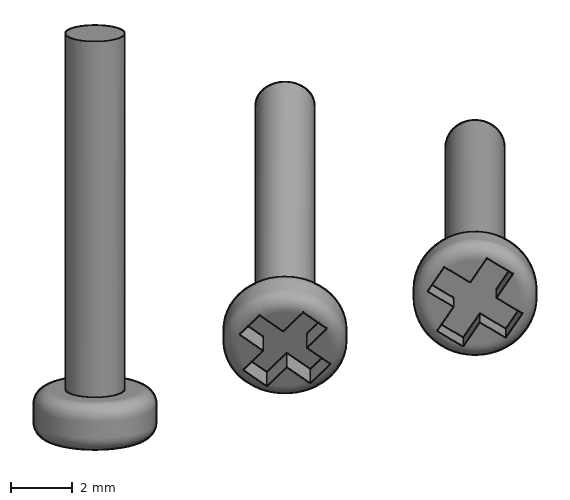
import cadquery as cq

total_length = 13.6
head_diameter = 4.0
head_height = 1.6
head_rounding = 0.5
shank_diameter = 1.93

recess_span = 3.0
recess_arm_width = 1.0
recess_depth = head_height / 2


def make_head():
    """Round head with both rims rounded, resting on the XY plane."""
    head = cq.Workplane("XY").circle(head_diameter / 2).extrude(head_height)
    return head.edges("%CIRCLE").fillet(head_rounding)


def make_shank():
    """Plain shank rising from the top face of the head."""
    shank = cq.Workplane("XY").workplane(offset=head_height)
    return shank.circle(shank_diameter / 2).extrude(total_length - head_height)


def make_cross_recess():
    """Two crossed arms whose ends just break into the lower rounding."""
    arm_x = cq.Workplane("XY").rect(recess_span, recess_arm_width).extrude(recess_depth)
    arm_y = cq.Workplane("XY").rect(recess_arm_width, recess_span).extrude(recess_depth)
    return arm_x.union(arm_y)


result = make_head().union(make_shank()).cut(make_cross_recess())